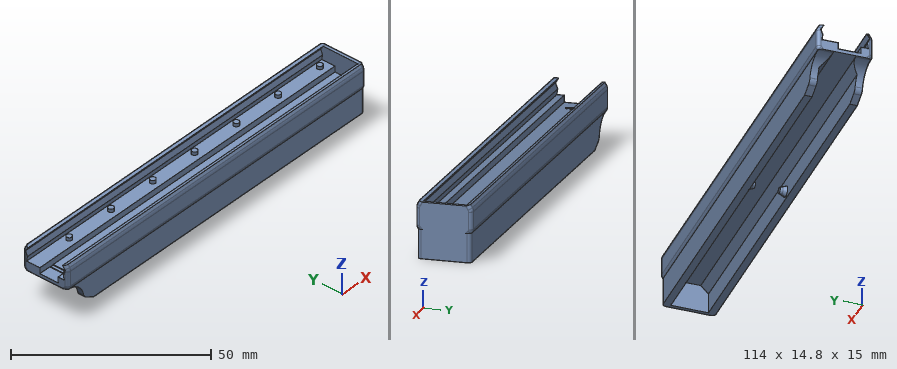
import cadquery as cq
import math

LENGTH = 114
TRAY_WIDTH = 14.8
HEIGHT = 15.0
BASE_WIDTH = 14.0
CORNER_RADIUS = 1.0
END_WALL = 1.0

TRAY_BOTTOM = 7.6
GROOVE_FLOOR = 8.7
TRAY_FLOOR = 10.5

UNDER_RADIUS = 1.5
ROUND_START = 13.2
RIM_ROUND_RADIUS = 2.0
RIM_LEAN = math.radians(30)
RIM_ROUND_TOP = ROUND_START + RIM_ROUND_RADIUS * math.sin(RIM_LEAN)
RIM_ROUND_TOP_Y = TRAY_WIDTH / 2 - RIM_ROUND_RADIUS * (1 - math.cos(RIM_LEAN))
RIM_PEAK_Y = RIM_ROUND_TOP_Y - (HEIGHT - RIM_ROUND_TOP) * math.tan(RIM_LEAN)

LIP_EDGE = 5.7
LIP_DROP = 0.26
UNDERCUT_DEPTH_Y = 6.5
UNDERCUT_DEPTH_Z = 13.6
WALL_STEP_Y = 5.9
WALL_STEP_Z = 12.0
WALL_FOOT_Y = 6.2

GROOVE_MAX_Y = 1.8
GROOVE_WIDTH = 6.0

POINTER_X = 4.0
POINTER_WIDTH = 1.1
POINTER_SHOULDER_Y = -1.9
POINTER_TIP_Y = -2.5
POINTER_DEPTH = 0.2

STUD_COUNT = 7
STUD_FIRST_X = 14.0
STUD_LAST_X = 110.0
STUD_PITCH = (STUD_LAST_X - STUD_FIRST_X) / (STUD_COUNT - 1)
STUD_Y = 4.2
STUD_RADIUS = 0.85
STUD_HEIGHT = 1.0

SCOOP_START_X = 0.6
SCOOP_RADIUS = 6.0
RAMP_START_X = 10.4
RAMP_ANGLE = math.radians(26.6)
SCOOP_BLEND_RADIUS = 2.0

HOLLOW_HALF_WIDTH = 5.0
HOLLOW_CHAMFER = 2.0

PIN_X = LENGTH / 2
PIN_Z = 2.2
PIN_ROOT_RADIUS = 1.5
PIN_NECK_RADIUS = 1.0
PIN_TIP_RADIUS = 0.8
PIN_NECK_Y = 4.0
PIN_TIP_Y = 3.3


def mirrored_section(half_outline):
    """Points of a half outline followed by their mirror images across the centre plane."""
    return half_outline + [(-y, z) for y, z in reversed(half_outline)]


def tray_outside():
    """Solid tray body; the corner rounding of both ends follows the shape of the sides."""
    half = TRAY_WIDTH / 2
    foot = BASE_WIDTH / 2
    under_sweep = math.acos(1 - (half - foot) / UNDER_RADIUS)
    under_top = TRAY_BOTTOM + UNDER_RADIUS * math.sin(under_sweep)
    body = (
        cq.Workplane("YZ")
        .moveTo(-foot, TRAY_BOTTOM)
        .lineTo(foot, TRAY_BOTTOM)
        .radiusArc((half, under_top), -UNDER_RADIUS)
        .lineTo(half, ROUND_START)
        .radiusArc((RIM_ROUND_TOP_Y, RIM_ROUND_TOP), -RIM_ROUND_RADIUS)
        .lineTo(RIM_PEAK_Y, HEIGHT)
        .lineTo(-RIM_PEAK_Y, HEIGHT)
        .lineTo(-RIM_ROUND_TOP_Y, RIM_ROUND_TOP)
        .radiusArc((-half, ROUND_START), -RIM_ROUND_RADIUS)
        .lineTo(-half, under_top)
        .radiusArc((-foot, TRAY_BOTTOM), -UNDER_RADIUS)
        .close()
        .extrude(LENGTH)
    )
    for end in ("<X", ">X"):
        for side in (1, -1):
            side_zone = cq.selectors.BoxSelector(
                (-1.1, side * RIM_PEAK_Y, 0), (LENGTH + 1.1, side * TRAY_WIDTH, HEIGHT)
            )
            body = body.faces(end).edges(side_zone).fillet(CORNER_RADIUS)
    return body


def lip_hollow():
    """Shallow hollow over the whole length that slopes from the rim peaks to the lip edges."""
    section = mirrored_section([(RIM_PEAK_Y, HEIGHT), (LIP_EDGE, HEIGHT - LIP_DROP)])
    return cq.Workplane("YZ").polyline(section).close().extrude(LENGTH)


def tray_cavity():
    """Undercut cavity, open at the top and at the -X end."""
    half_outline = [
        (WALL_FOOT_Y, TRAY_FLOOR),
        (WALL_STEP_Y, WALL_STEP_Z),
        (UNDERCUT_DEPTH_Y, UNDERCUT_DEPTH_Z),
        (LIP_EDGE, HEIGHT - LIP_DROP),
    ]
    section = mirrored_section(half_outline)
    return cq.Workplane("YZ").polyline(section).close().extrude(LENGTH - END_WALL)


def groove():
    corner = (0, GROOVE_MAX_Y - GROOVE_WIDTH, GROOVE_FLOOR)
    size = (LENGTH - END_WALL, GROOVE_WIDTH, TRAY_FLOOR - GROOVE_FLOOR)
    return cq.Workplane("XY", origin=corner).box(*size, centered=False)


def pointer_recess():
    far_x = POINTER_X + POINTER_WIDTH
    outline = [
        (POINTER_X, GROOVE_MAX_Y),
        (far_x, GROOVE_MAX_Y),
        (far_x, POINTER_SHOULDER_Y),
        (POINTER_X + POINTER_WIDTH / 2, POINTER_TIP_Y),
        (POINTER_X, POINTER_SHOULDER_Y),
    ]
    recess = cq.Workplane("XY", origin=(0, 0, GROOVE_FLOOR - POINTER_DEPTH))
    return recess.polyline(outline).close().extrude(POINTER_DEPTH)


def studs():
    places = [(STUD_FIRST_X + i * STUD_PITCH, STUD_Y) for i in range(STUD_COUNT)]
    plane = cq.Workplane("XY", origin=(0, 0, TRAY_FLOOR))
    return plane.pushPoints(places).circle(STUD_RADIUS).extrude(STUD_HEIGHT)


def base_outside():
    """Lower block whose -X end is a concave scoop blended into a ramp."""
    scoop_z = TRAY_BOTTOM - SCOOP_RADIUS
    offset_x = RAMP_START_X + SCOOP_BLEND_RADIUS * math.sin(RAMP_ANGLE) - SCOOP_START_X
    offset_z = SCOOP_BLEND_RADIUS * math.cos(RAMP_ANGLE) - scoop_z
    reach = SCOOP_RADIUS + SCOOP_BLEND_RADIUS
    along = offset_x * math.cos(RAMP_ANGLE) - offset_z * math.sin(RAMP_ANGLE)
    ramp_length = along - math.sqrt(along**2 - offset_x**2 - offset_z**2 + reach**2)
    ramp_end = (RAMP_START_X - ramp_length * math.cos(RAMP_ANGLE), ramp_length * math.sin(RAMP_ANGLE))
    blend_x = offset_x - ramp_length * math.cos(RAMP_ANGLE)
    blend_z = offset_z + ramp_length * math.sin(RAMP_ANGLE)
    scoop_end = (
        SCOOP_START_X + blend_x * SCOOP_RADIUS / reach,
        scoop_z + blend_z * SCOOP_RADIUS / reach,
    )
    return (
        cq.Workplane("XZ", origin=(0, BASE_WIDTH / 2, 0))
        .moveTo(SCOOP_START_X, TRAY_BOTTOM)
        .radiusArc(scoop_end, SCOOP_RADIUS)
        .radiusArc(ramp_end, -SCOOP_BLEND_RADIUS)
        .lineTo(RAMP_START_X, 0)
        .lineTo(LENGTH, 0)
        .lineTo(LENGTH, TRAY_BOTTOM)
        .close()
        .extrude(BASE_WIDTH)
    )


def base_hollow():
    """Channel open at the bottom and the -X end, with bevelled upper corners."""
    half_outline = [
        (HOLLOW_HALF_WIDTH, 0),
        (HOLLOW_HALF_WIDTH, TRAY_BOTTOM - HOLLOW_CHAMFER),
        (HOLLOW_HALF_WIDTH - HOLLOW_CHAMFER, TRAY_BOTTOM),
    ]
    section = mirrored_section(half_outline)
    return cq.Workplane("YZ").polyline(section).close().extrude(LENGTH - END_WALL)


def pin():
    """Tapered pin on the +Y channel wall, pointing to the centre plane."""
    half_outline = [
        (0, HOLLOW_HALF_WIDTH),
        (PIN_ROOT_RADIUS, HOLLOW_HALF_WIDTH),
        (PIN_NECK_RADIUS, PIN_NECK_Y),
        (PIN_TIP_RADIUS, PIN_TIP_Y),
        (0, PIN_TIP_Y),
    ]
    plane = cq.Workplane("XY").polyline(half_outline).close()
    return plane.revolve(360, (0, 0), (0, 1)).translate((PIN_X, 0, PIN_Z))


tray = tray_outside().cut(lip_hollow()).cut(tray_cavity()).cut(groove()).cut(pointer_recess())
tray = tray.union(studs())

base = base_outside().edges(">X and |Z").fillet(CORNER_RADIUS).cut(base_hollow())
base = base.union(pin()).union(pin().mirror("XZ"))

result = tray.union(base)